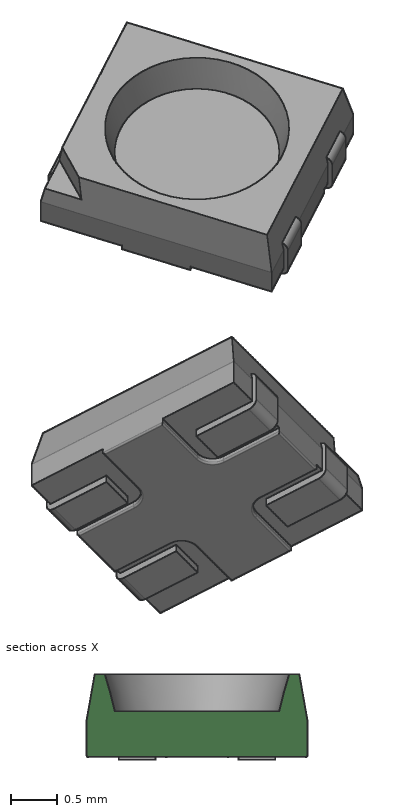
import cadquery as cq
import math

body_x = 2.7
body_y = 2.4
split_height = 0.43
total_height = 0.93
draft_angle = 10.0

cavity_top_radius = 1.0
cavity_depth = 0.4
cavity_wall_angle = 15.0

mark_leg = 0.5
mark_depth = 0.3

recess_ceiling = 0.1
pad_bottom = 0.03
pad_arm_half_x = 0.4
pad_arm_half_y = 0.35
pad_corner_radius = 0.2
pad_edge_radius = 0.02

lead_span_x = 2.8
lead_thickness = recess_ceiling
lead_width = 0.4
lead_pitch = 1.3
lead_foot_end_x = 0.6
lead_top = 0.535
lead_bend_radius = 0.1


def make_housing():
    """Lower band and drafted upper part, without cutouts."""
    band = (
        cq.Workplane("XY")
        .workplane(offset=recess_ceiling)
        .rect(body_x, body_y)
        .extrude(split_height - recess_ceiling)
    )
    upper = (
        cq.Workplane("XY")
        .workplane(offset=split_height)
        .rect(body_x, body_y)
        .extrude(total_height - split_height, taper=draft_angle)
    )
    return band.union(upper)


def make_pad():
    """Cross with rounded inner corners and a rounded lower edge."""
    pad_height = recess_ceiling - pad_bottom
    base = cq.Workplane("XY").workplane(offset=pad_bottom)
    arm_along_x = base.rect(body_x, 2 * pad_arm_half_y).extrude(pad_height)
    arm_along_y = base.rect(2 * pad_arm_half_x, body_y).extrude(pad_height)
    inner_corners = cq.selectors.BoxSelector(
        (-body_x / 4, -body_y / 4, 0),
        (body_x / 4, body_y / 4, total_height),
    )
    return (
        arm_along_x.union(arm_along_y)
        .edges("|Z")
        .edges(inner_corners)
        .fillet(pad_corner_radius)
        .faces("<Z")
        .fillet(pad_edge_radius)
    )


def make_cavity():
    """Truncated cone that narrows towards the cavity floor."""
    return (
        cq.Workplane("XY")
        .workplane(offset=total_height)
        .circle(cavity_top_radius)
        .extrude(-cavity_depth, taper=cavity_wall_angle)
    )


def make_corner_mark():
    """Triangular prism that removes the marked top corner."""
    corner_x = -body_x / 2
    corner_y = -body_y / 2
    return (
        cq.Workplane("XY")
        .workplane(offset=total_height - mark_depth)
        .moveTo(corner_x, corner_y)
        .lineTo(corner_x + mark_leg, corner_y)
        .lineTo(corner_x, corner_y + mark_leg)
        .close()
        .extrude(mark_depth)
    )


def make_lead(side, center_y):
    """Lead on the +X (side = 1) or -X (side = -1) end: upright plus foot."""
    outer_x = side * lead_span_x / 2
    inner_x = outer_x - side * lead_thickness
    foot_end_x = side * lead_foot_end_x
    bend_x = outer_x - side * lead_bend_radius
    bend_mid_x = bend_x + side * lead_bend_radius * math.sqrt(0.5)
    bend_mid_rise = lead_bend_radius * (1 - math.sqrt(0.5))
    return (
        cq.Workplane("XZ", origin=(0, center_y, 0))
        .moveTo(foot_end_x, 0)
        .lineTo(bend_x, 0)
        .threePointArc((bend_mid_x, bend_mid_rise), (outer_x, lead_bend_radius))
        .lineTo(outer_x, lead_top - lead_bend_radius)
        .threePointArc((bend_mid_x, lead_top - bend_mid_rise), (bend_x, lead_top))
        .lineTo(inner_x, lead_thickness)
        .lineTo(foot_end_x, lead_thickness)
        .close()
        .extrude(lead_width / 2, both=True)
    )


result = make_housing().union(make_pad())
result = result.cut(make_cavity()).cut(make_corner_mark())
for side in (-1, 1):
    for row in (-1, 1):
        result = result.union(make_lead(side, row * lead_pitch / 2))
result = result.clean()